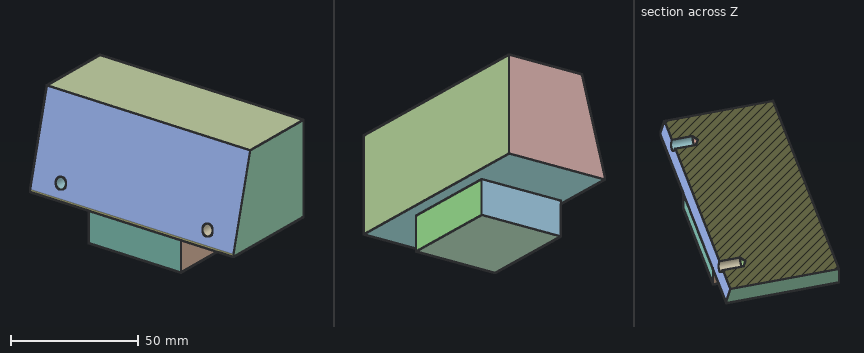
import cadquery as cq
import math

length = 99.9
width = 46.0
total_height = 57.6
foot_height = 15.3
body_height = total_height - foot_height
top_depth = 35.0
lip_height = 1.2

foot_length = 45.2
foot_width = 38.0
foot_front_setback = 2.0

hole_diameter = 5.0
hole_depth = 10.0
drill_point_angle = 118.0
hole_spacing = 72.0
hole_height = 7.2

front_y = -width / 2
back_y = width / 2
left_x = -length / 2


def make_body():
    """Extrude the side profile along X; the underside lies at Z = 0."""
    return (
        cq.Workplane("YZ", origin=(left_x, 0, 0))
        .moveTo(back_y, 0)
        .lineTo(front_y, 0)
        .lineTo(front_y, lip_height)
        .lineTo(back_y - top_depth, body_height)
        .lineTo(back_y, body_height)
        .close()
        .extrude(length)
    )


def make_foot():
    """Rectangular foot centred in X, hanging below the body."""
    corner = (-foot_length / 2, front_y + foot_front_setback, -foot_height)
    return (
        cq.Workplane("XY", origin=corner)
        .rect(foot_length, foot_width, centered=False)
        .extrude(foot_height)
    )


def make_hole(x):
    """Cutting tool for one hole: a cylinder ending in a drill point."""
    radius = hole_diameter / 2
    point_length = radius / math.tan(math.radians(drill_point_angle / 2))
    return (
        cq.Workplane("XY", origin=(x, front_y, hole_height))
        .lineTo(radius, 0)
        .lineTo(radius, hole_depth)
        .lineTo(0, hole_depth + point_length)
        .close()
        .revolve(360, (0, 0, 0), (0, 1, 0))
    )


result = make_body().union(make_foot())
for hole_x in (-hole_spacing / 2, hole_spacing / 2):
    result = result.cut(make_hole(hole_x))